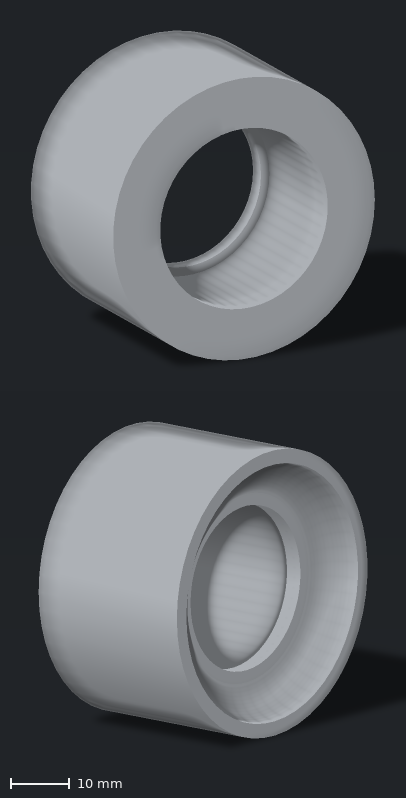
import cadquery as cq
import math

length = 31.0
outer_radius = 50.0 / 2
rim_radius = 45.0 / 2
throat_radius = 33.0 / 2
lip_radius = 28.8 / 2
bore_radius = 32.0 / 2
lip_thickness = 3.0

cove_radius = rim_radius - throat_radius
mouth_face = -length / 2
back_face = length / 2
lip_front = mouth_face + cove_radius
lip_back = lip_front + lip_thickness
cove_mid = cove_radius * math.sqrt(0.5)

half_section = (
    cq.Workplane("XY")
    .moveTo(mouth_face, outer_radius)
    .lineTo(mouth_face, rim_radius)
    .threePointArc(
        (mouth_face + cove_mid, throat_radius + cove_mid),
        (lip_front, throat_radius),
    )
    .lineTo(lip_front, lip_radius)
    .lineTo(lip_back, lip_radius)
    .lineTo(lip_back, bore_radius)
    .lineTo(back_face, bore_radius)
    .lineTo(back_face, outer_radius)
    .close()
)

result = half_section.revolve(360, (0, 0, 0), (1, 0, 0))